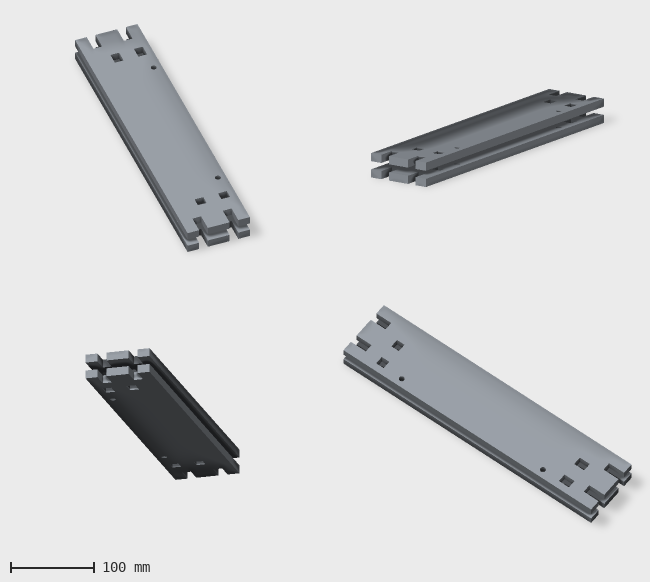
import cadquery as cq

LENGTH = 372.0
WIDTH = 80.0
THICKNESS = 10.0
GAP = 10.0
PLATE_COUNT = 2

SLOT_DEPTH = 22.5
SLOT_WIDTH = 11.0
MIDDLE_TAB_WIDTH = 28.0

WINDOW_HEIGHT = 11.0
LEFT_WINDOW_LENGTH = 15.0
RIGHT_WINDOW_LENGTH = 11.0
LEFT_WINDOW_INSET = 47.5
RIGHT_WINDOW_INSET = 48.0
UPPER_WINDOW_INSET = 14.5
WINDOW_PITCH = 30.0

HOLE_DIAMETER = 7.0
HOLE_END_INSET = 80.0
HOLE_EDGE_INSET = 10.0

HALF_LENGTH = LENGTH / 2
BACK_EDGE = WIDTH / 2
SLOT_Y = (MIDDLE_TAB_WIDTH + SLOT_WIDTH) / 2
STACK_HEIGHT = PLATE_COUNT * THICKNESS + (PLATE_COUNT - 1) * GAP


def cut_end_slots(plate):
    places = [(x, y) for x in (-HALF_LENGTH, HALF_LENGTH) for y in (-SLOT_Y, SLOT_Y)]
    cutters = cq.Workplane().pushPoints(places).rect(2 * SLOT_DEPTH, SLOT_WIDTH).extrude(THICKNESS)
    return plate.cut(cutters)


def cut_window_pair(plate, center_x, length):
    upper_y = BACK_EDGE - UPPER_WINDOW_INSET
    places = [(center_x, upper_y), (center_x, upper_y - WINDOW_PITCH)]
    cutters = cq.Workplane().pushPoints(places).rect(length, WINDOW_HEIGHT).extrude(THICKNESS)
    return plate.cut(cutters)


def cut_round_holes(plate):
    hole_x = HALF_LENGTH - HOLE_END_INSET
    hole_y = BACK_EDGE - HOLE_EDGE_INSET
    places = [(-hole_x, hole_y), (hole_x, hole_y)]
    cutters = cq.Workplane().pushPoints(places).circle(HOLE_DIAMETER / 2).extrude(THICKNESS)
    return plate.cut(cutters)


def make_plate(bottom_z):
    plate = cq.Workplane().rect(LENGTH, WIDTH).extrude(THICKNESS)
    plate = cut_end_slots(plate)
    plate = cut_window_pair(plate, -HALF_LENGTH + LEFT_WINDOW_INSET, LEFT_WINDOW_LENGTH)
    plate = cut_window_pair(plate, HALF_LENGTH - RIGHT_WINDOW_INSET, RIGHT_WINDOW_LENGTH)
    plate = cut_round_holes(plate)
    return plate.translate((0, 0, bottom_z))


plates = []
for index in range(PLATE_COUNT):
    plate_bottom = -STACK_HEIGHT / 2 + index * (THICKNESS + GAP)
    plates.append(make_plate(plate_bottom))

result = cq.Compound.makeCompound([plate.solids().val() for plate in plates])